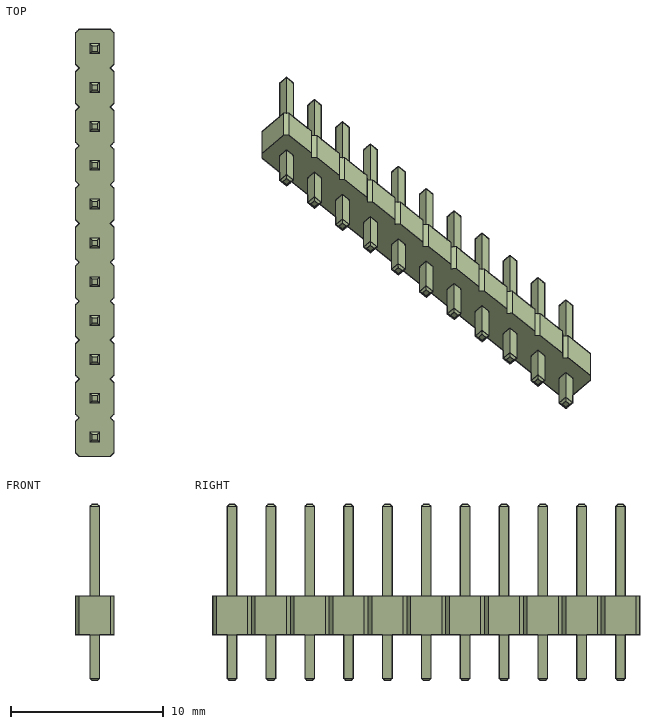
import cadquery as cq

pin_count = 11
strip_length = 27.95
pitch = strip_length / pin_count

cell_size = pitch
cell_chamfer = 0.25
pin_width = 0.65
pin_length = 11.55
pin_below = (pin_length - cell_size) / 3
tip_chamfer = 0.15

first_pin_y = -pitch * (pin_count - 1) / 2
pin_centres = [(0, first_pin_y + pitch * index) for index in range(pin_count)]


def make_cell(centre):
    """One cell of the strip; neighbouring chamfers form the V notches."""
    return (
        cq.Workplane("XY")
        .center(*centre)
        .rect(cell_size, cell_size)
        .extrude(cell_size)
        .edges("|Z")
        .chamfer(cell_chamfer)
    )


def make_pin(centre):
    """One square pin, chamfered around both ends."""
    return (
        cq.Workplane("XY")
        .workplane(offset=-pin_below)
        .center(*centre)
        .rect(pin_width, pin_width)
        .extrude(pin_length)
        .faces("<Z or >Z")
        .chamfer(tip_chamfer)
    )


result = cq.Workplane("XY")
for pin_centre in pin_centres:
    result = result.union(make_cell(pin_centre))
    result = result.union(make_pin(pin_centre))